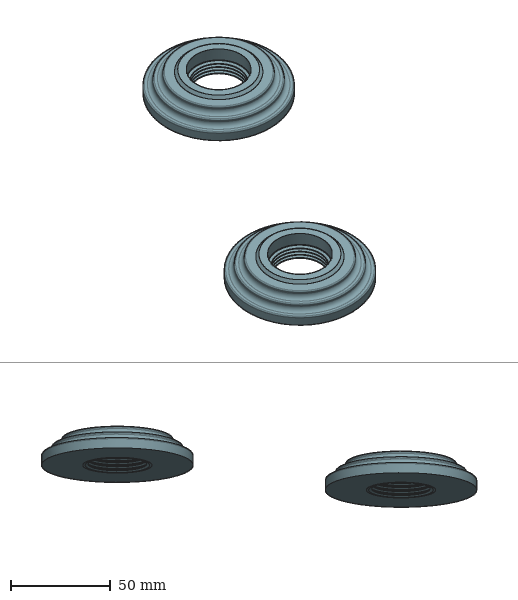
import cadquery as cq
import math

OVERALL_LENGTH = 228.5
OUTER_DIAMETER = 76.1
HEIGHT = 15.3
AXIS_OFFSET = (OVERALL_LENGTH - OUTER_DIAMETER) / 2

RIM_RADIUS = OUTER_DIAMETER / 2
RIM_HEIGHT = 5.5
STEP_RISE = 4.1
STEP_RUN = 5.0
EDGE_ROUND = 0.7
COVE_RADIUS = 2.7
COLLAR_BASE_RADIUS = 22.2
COLLAR_TOP_RADIUS = 20.5

BORE_RADIUS = 16.2
RING_RADIUS = 17.4
CREST_RADIUS = 14.6
THREAD_COUNT = 4
PITCH = 2.0
THREAD_FLAT = 0.5
FLANK_HEIGHT = PITCH / 2 - THREAD_FLAT
RING_HEIGHT = THREAD_COUNT * PITCH


def add_rounded_edge(profile, radius, top):
    """Run up the wall at this radius and round over onto the flat at height top."""
    inset = EDGE_ROUND * (1 - math.sqrt(0.5))
    return (
        profile.lineTo(radius, top - EDGE_ROUND)
        .threePointArc((radius - inset, top - inset), (radius - EDGE_ROUND, top))
    )


def add_cove_step(profile, step_radius, ledge_height):
    """Cross the ledge, rise along a quarter-round cove to a short wall, and round its edge."""
    inset = COVE_RADIUS * (1 - math.sqrt(0.5))
    profile = (
        profile.lineTo(step_radius + COVE_RADIUS, ledge_height)
        .threePointArc(
            (step_radius + inset, ledge_height + inset),
            (step_radius, ledge_height + COVE_RADIUS),
        )
    )
    return add_rounded_edge(profile, step_radius, ledge_height + STEP_RISE)


def revolve_about_z(profile):
    return profile.close().revolve(360, (0, 0, 0), (0, 1, 0))


def make_rosette():
    """Flange with two coved steps, a conical collar, and a bore recessed from below."""
    middle_height = RIM_HEIGHT + STEP_RISE
    upper_height = middle_height + STEP_RISE
    profile = cq.Workplane("XZ").moveTo(RING_RADIUS, 0).lineTo(RIM_RADIUS, 0)
    profile = add_rounded_edge(profile, RIM_RADIUS, RIM_HEIGHT)
    profile = add_cove_step(profile, RIM_RADIUS - STEP_RUN, RIM_HEIGHT)
    profile = add_cove_step(profile, RIM_RADIUS - 2 * STEP_RUN, middle_height)
    profile = (
        profile.lineTo(COLLAR_BASE_RADIUS, upper_height)
        .lineTo(COLLAR_TOP_RADIUS, HEIGHT)
        .lineTo(BORE_RADIUS, HEIGHT)
        .lineTo(BORE_RADIUS, RING_HEIGHT)
        .lineTo(RING_RADIUS, RING_HEIGHT)
    )
    return revolve_about_z(profile)


def make_threaded_ring():
    """Ring whose inside carries equal annular threads, with roots level with the bore."""
    profile = cq.Workplane("XZ").moveTo(RING_RADIUS, 0).lineTo(RING_RADIUS, RING_HEIGHT)
    for index in range(THREAD_COUNT):
        root_top = RING_HEIGHT - index * PITCH
        crest_top = root_top - THREAD_FLAT - FLANK_HEIGHT
        profile = (
            profile.lineTo(BORE_RADIUS, root_top)
            .lineTo(BORE_RADIUS, root_top - THREAD_FLAT)
            .lineTo(CREST_RADIUS, crest_top)
            .lineTo(CREST_RADIUS, crest_top - THREAD_FLAT)
        )
    profile = profile.lineTo(BORE_RADIUS, 0)
    return revolve_about_z(profile)


bodies = []
for axis_x in (-AXIS_OFFSET, AXIS_OFFSET):
    rosette = make_rosette().translate((axis_x, 0, 0))
    threaded_ring = make_threaded_ring().translate((axis_x, 0, 0))
    bodies += [rosette.val(), threaded_ring.val()]

result = cq.Compound.makeCompound(bodies)